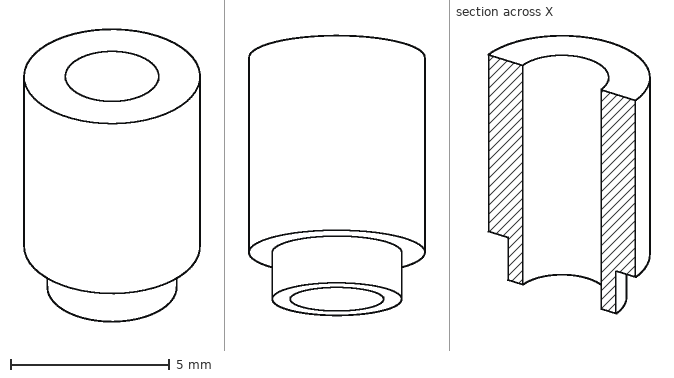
import cadquery as cq

body_diameter = 5.56
body_length = 6.35
shank_diameter = 4.09
shank_length = 1.524
bore_diameter = 2.95

total_length = body_length + shank_length


def cylinder(diameter, length, base_z):
    """Upright cylinder on the Z axis, starting at base_z."""
    return cq.Workplane("XY").workplane(offset=base_z).circle(diameter / 2).extrude(length)


shank = cylinder(shank_diameter, shank_length, 0)
body = cylinder(body_diameter, body_length, shank_length)

bore = cylinder(bore_diameter, total_length, 0)

result = shank.union(body).cut(bore)